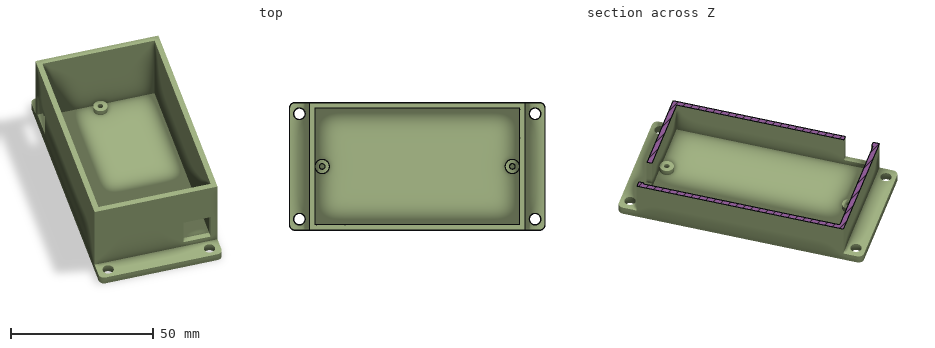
import cadquery as cq

length = 90.0
width = 45.0
height = 30.0

base_thickness = 3.0
corner_radius = 2.0
mount_hole_diameter = 4.0
mount_hole_edge_offset = 4.0

box_length = 76.0
wall = 2.0
flange_length = (length - box_length) / 2
cavity_length = box_length - 2 * wall
cavity_width = width - 2 * wall

window_size = 10.0
window_sill = 5.0
window_corner_offset = 2.5

boss_diameter = 5.0
boss_height = 2.0
boss_hole_diameter = 2.0


def make_base():
    mount_x = length - flange_length
    mount_y = width - 2 * mount_hole_edge_offset
    return (
        cq.Workplane("XY")
        .box(length, width, base_thickness, centered=(True, True, False))
        .edges("|Z")
        .fillet(corner_radius)
        .faces(">Z")
        .workplane()
        .rect(mount_x, mount_y, forConstruction=True)
        .vertices()
        .hole(mount_hole_diameter)
    )


def make_walls():
    return (
        cq.Workplane("XY")
        .rect(box_length, width)
        .rect(cavity_length, cavity_width)
        .extrude(height)
    )


def make_window(x, y):
    """Cutter centred on a wall at (x, y), reaching fully through it."""
    return (
        cq.Workplane("XY", origin=(x, y, window_sill))
        .box(window_size, window_size, window_size, centered=(True, True, False))
    )


def make_boss(x):
    """Boss with a blind hole that ends at the floor."""
    return (
        cq.Workplane("XY", origin=(x, 0, base_thickness))
        .circle(boss_diameter / 2)
        .circle(boss_hole_diameter / 2)
        .extrude(boss_height)
    )


result = make_base().union(make_walls())

boss_x = (cavity_length - boss_diameter) / 2
for side in (-1, 1):
    result = result.union(make_boss(side * boss_x))

window_inset = window_corner_offset + window_size / 2
result = result.cut(make_window(window_inset - box_length / 2, (wall - width) / 2))
result = result.cut(make_window((box_length - wall) / 2, width / 2 - window_inset))